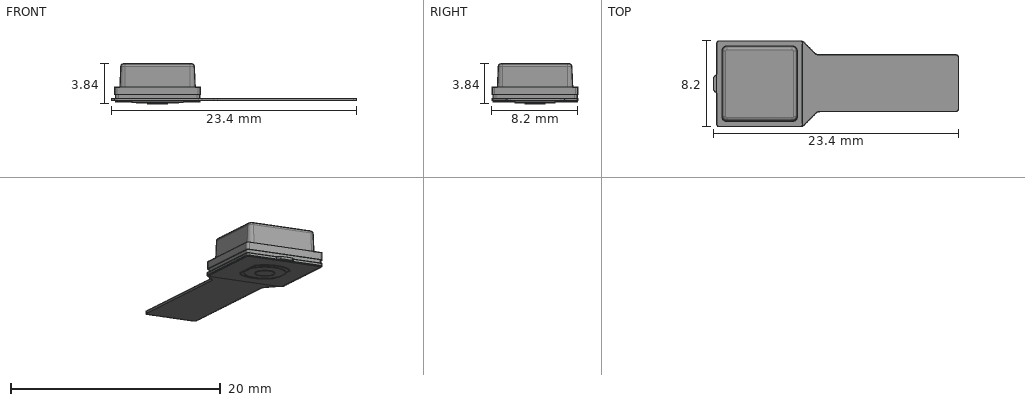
import cadquery as cq

TOTAL_HEIGHT = 3.84
DOME_DEPTH = 0.2
COVER_THICKNESS = 0.105
FLEX_THICKNESS = 0.23
SPACER_THICKNESS = 0.35
FLANGE_THICKNESS = 0.7

COVER_BOTTOM = DOME_DEPTH
FLEX_BOTTOM = COVER_BOTTOM + COVER_THICKNESS
SPACER_BOTTOM = FLEX_BOTTOM + FLEX_THICKNESS
FLANGE_BOTTOM = SPACER_BOTTOM + SPACER_THICKNESS
FLANGE_TOP = FLANGE_BOTTOM + FLANGE_THICKNESS

FLANGE_SIZE = 8.2
FLANGE_CORNER_RADIUS = 0.23
BUTTON_SIZE = 7.2
BUTTON_CORNER_RADIUS = 0.5
BUTTON_DRAFT = 2.5
BUTTON_TOP_FILLET = 0.28

PLATE_SIZE = 8.05
PLATE_CORNER_RADIUS = 0.28

DOME_DIAMETERS = [4.87, 4.0, 1.9]
DOME_TRIMMED_WIDTH = 3.8

FLEX_LENGTH = 23.4
TAB_LENGTH = 0.3
TAB_TIP_WIDTH = 1.22
TAIL_UPPER_Y = 2.78
TAIL_LOWER_Y = -2.67
NECK_FILLET = 0.5
TAIL_END_RADIUS = 0.3

HEAD_HALF = FLANGE_SIZE / 2
CENTER_X = TAB_LENGTH + HEAD_HALF


def rounded_square(size, corner_radius, thickness, bottom):
    """Square plate with rounded vertical edges, centred on the key."""
    return (
        cq.Workplane("XY", origin=(CENTER_X, 0, bottom))
        .rect(size, size)
        .extrude(thickness)
        .edges("|Z")
        .fillet(corner_radius)
    )


def make_keycap():
    flange = rounded_square(FLANGE_SIZE, FLANGE_CORNER_RADIUS, FLANGE_THICKNESS, FLANGE_BOTTOM)
    outline = cq.Sketch().rect(BUTTON_SIZE, BUTTON_SIZE).vertices().fillet(BUTTON_CORNER_RADIUS)
    button = (
        cq.Workplane("XY", origin=(CENTER_X, 0, FLANGE_TOP))
        .placeSketch(outline)
        .extrude(TOTAL_HEIGHT - FLANGE_TOP, taper=BUTTON_DRAFT)
        .faces(">Z")
        .edges()
        .fillet(BUTTON_TOP_FILLET)
    )
    return flange.union(button)


def make_spacer():
    return rounded_square(PLATE_SIZE, PLATE_CORNER_RADIUS, SPACER_THICKNESS, SPACER_BOTTOM)


def make_flex():
    head_right = TAB_LENGTH + FLANGE_SIZE
    tab_tip_half = TAB_TIP_WIDTH / 2
    tab_root_half = tab_tip_half + TAB_LENGTH
    upper_neck_x = head_right + HEAD_HALF - TAIL_UPPER_Y
    lower_neck_x = head_right + HEAD_HALF + TAIL_LOWER_Y
    head_left_corners = [(TAB_LENGTH, -HEAD_HALF), (TAB_LENGTH, HEAD_HALF)]
    neck_corners = [
        (head_right, HEAD_HALF),
        (upper_neck_x, TAIL_UPPER_Y),
        (lower_neck_x, TAIL_LOWER_Y),
        (head_right, -HEAD_HALF),
    ]
    tail_corners = [(FLEX_LENGTH, TAIL_UPPER_Y), (FLEX_LENGTH, TAIL_LOWER_Y)]
    tab = [
        (TAB_LENGTH, -tab_root_half),
        (0, -tab_tip_half),
        (0, tab_tip_half),
        (TAB_LENGTH, tab_root_half),
    ]
    outline = [head_left_corners[0], *tab, head_left_corners[1]]
    outline += [*neck_corners[:2], *tail_corners, *neck_corners[2:]]
    flex = cq.Workplane("XY", origin=(0, 0, FLEX_BOTTOM)).polyline(outline).close().extrude(FLEX_THICKNESS)

    corner_groups = [
        (head_left_corners, FLANGE_CORNER_RADIUS),
        (neck_corners, NECK_FILLET),
        (tail_corners, TAIL_END_RADIUS),
    ]
    edge_z = FLEX_BOTTOM + FLEX_THICKNESS / 2
    for corners, radius in corner_groups:
        for x, y in corners:
            edge = cq.selectors.NearestToPointSelector((x, y, edge_z))
            flex = flex.edges("|Z").edges(edge).fillet(radius)
    return flex


def make_bottom_cover():
    plate = rounded_square(PLATE_SIZE, PLATE_CORNER_RADIUS, COVER_THICKNESS, COVER_BOTTOM)
    step = DOME_DEPTH / len(DOME_DIAMETERS)
    dome = cq.Workplane("XY", origin=(CENTER_X, 0, COVER_BOTTOM))
    for level, diameter in enumerate(DOME_DIAMETERS, start=1):
        disc = cq.Workplane("XY", origin=(CENTER_X, 0, COVER_BOTTOM)).circle(diameter / 2)
        dome = dome.union(disc.extrude(-step * level))
    trim = cq.Workplane("XY", origin=(CENTER_X, 0, 0)).rect(max(DOME_DIAMETERS), DOME_TRIMMED_WIDTH)
    return plate.union(dome.intersect(trim.extrude(COVER_BOTTOM)))


keycap = make_keycap()
spacer = make_spacer()
flex = make_flex()
bottom_cover = make_bottom_cover()

bodies = [keycap, spacer, flex, bottom_cover]
result = cq.Compound.makeCompound([body.solids().val() for body in bodies])